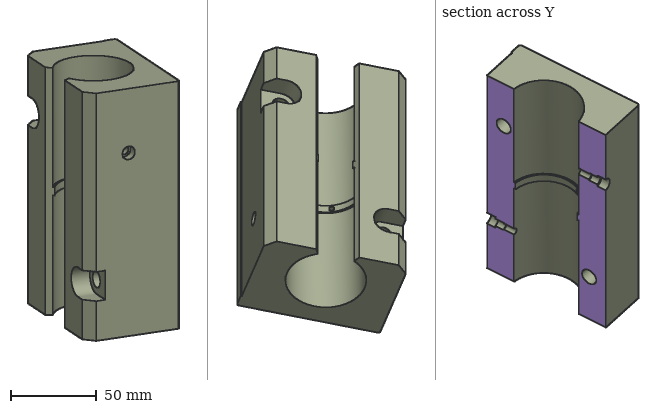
import cadquery as cq
import math

length = 152.0
body_width = 86.3
depth = 60.0
front_chamfer = 6.1
back_chamfer = 0.9

strip_height = 0.6
strip_depth = 8.2

bore_diameter = 47.1
rib_diameter = 45.0
rib_length = 5.0
bore_from_back = 35.4
opening_half_angle = 28.0

mount_hole_diameter = 10.0
mount_hole_offset = 31.0
mount_hole_from_end = 33.5
seat_width = 18.0
seat_depth = 12.0

side_hole_from_end = 39.5
side_hole_from_back = 33.0
side_entry_diameter = 8.0
side_entry_depth = 6.1
side_neck_diameter = 5.3
side_neck_depth = 12.2
side_tip_diameter = 4.3

rib_hole_diameter = 3.0
rib_hole_angle = 25.0
rib_hole_depth = 9.1

half_width = body_width / 2
back_y = bore_from_back
front_y = back_y - depth
left_x = -half_width - strip_height


def make_block():
    """Extrude the chamfered block outline, with the strip on its -X side."""
    strip_front_y = back_y - strip_depth
    outline = [
        (left_x + back_chamfer, back_y),
        (half_width - back_chamfer, back_y),
        (half_width, back_y - back_chamfer),
        (half_width, front_y + front_chamfer),
        (half_width - front_chamfer, front_y),
        (-half_width + front_chamfer, front_y),
        (-half_width, front_y + front_chamfer),
        (-half_width, strip_front_y),
        (left_x, strip_front_y),
        (left_x, back_y - back_chamfer),
    ]
    return cq.Workplane("XY").polyline(outline).close().extrude(length)


def make_bore():
    """Bore, relieved around the rib, joined to a front opening with radial walls."""
    rib_bottom = (length - rib_length) / 2
    bore = cq.Workplane("XY").circle(rib_diameter / 2).extrude(length)
    relief = cq.Workplane("XY").circle(bore_diameter / 2).extrude(rib_bottom)
    bore = bore.union(relief).union(relief.translate((0, 0, rib_bottom + rib_length)))
    reach = depth
    spread = reach * math.tan(math.radians(opening_half_angle))
    wedge = [(0, 0), (spread, -reach), (-spread, -reach)]
    return bore.union(cq.Workplane("XY").polyline(wedge).close().extrude(length))


def make_mount_cut(side, z):
    """Through hole along Y and its round-ended seat, open to the given side."""
    x = side * mount_hole_offset
    front = cq.Workplane("XZ", origin=(x, front_y, z))
    hole = front.circle(mount_hole_diameter / 2).extrude(-depth)
    seat = front.circle(seat_width / 2).extrude(-seat_depth)
    slot_center = side * seat_width
    slot = front.center(slot_center, 0).rect(2 * seat_width, seat_width).extrude(-seat_depth)
    return hole.union(seat).union(slot)


def make_side_hole(side, z):
    """Stepped hole entering from the given X side and ending in the bore."""
    hole_y = back_y - side_hole_from_back
    plane = cq.Workplane("YZ", origin=(side * half_width, hole_y, z))
    entry = plane.circle(side_entry_diameter / 2).extrude(-side * side_entry_depth)
    neck = plane.circle(side_neck_diameter / 2).extrude(-side * side_neck_depth)
    tip = plane.circle(side_tip_diameter / 2).extrude(-side * half_width)
    return entry.union(neck).union(tip)


def make_rib_hole():
    """Radial hole starting on the bore axis at mid length."""
    angle = math.radians(rib_hole_angle)
    start = cq.Vector(0, 0, length / 2)
    direction = cq.Vector(math.sin(angle), math.cos(angle), 0)
    reach = rib_diameter / 2 + rib_hole_depth
    return cq.Solid.makeCylinder(rib_hole_diameter / 2, reach, start, direction)


result = make_block().cut(make_bore())
for side, z_base, z_step in ((-1, length, -1), (1, 0, 1)):
    result = result.cut(make_mount_cut(side, z_base + z_step * mount_hole_from_end))
    result = result.cut(make_side_hole(-side, z_base + z_step * side_hole_from_end))
result = result.cut(make_rib_hole())